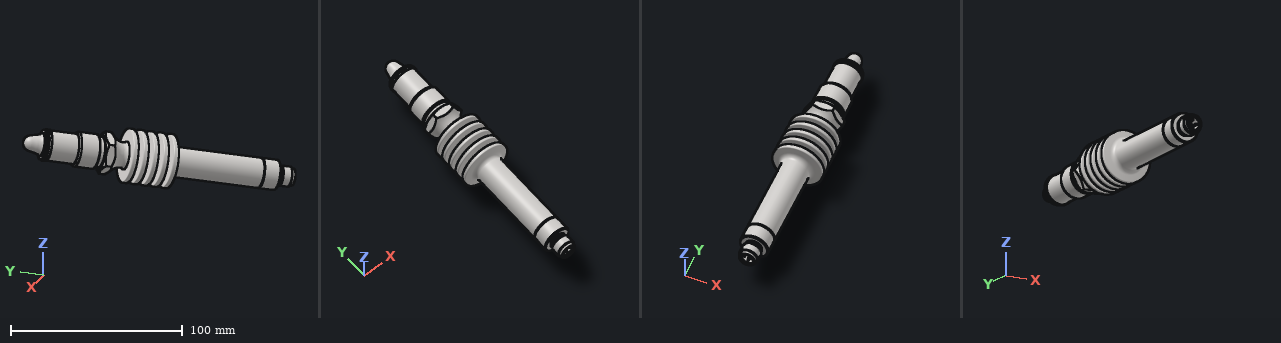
import cadquery as cq
import math

length = 166.2
tip_y = length / 2

body_radius = 9.0

dome_radius = 9.5 / 2
nose_taper = math.radians(12)
nose_cone_end = 8.1
nose_flare_end = 10.8
nose_flare_radius = 6.8
nose_end = 11.6

ring_start = 12.6
ring_end = 14.8
ring_radius = 9.3
ring_chamfer = 0.5
collar_radius = ring_radius - ring_chamfer

sleeve_start = 31.4
sleeve_end = 44.4
sleeve_radius = 10.3
sleeve_lead = 1.3
sleeve_lead_height = 0.8
sleeve_chamfer = 0.5

hex_start = 47.4
hex_across_flats = 22.0
hex_sides = 6
hex_corner_radius = hex_across_flats / 2 / math.cos(math.pi / hex_sides)
hex_chamfer_angle = math.radians(30)
hex_chamfer_inner_radius = 10.1
hex_chamfer_length = (hex_corner_radius - hex_chamfer_inner_radius) * math.tan(hex_chamfer_angle)
back_flare_start = 52.2
back_flare_middle = 56.0
back_flare_middle_radius = 9.0
neck_radius = 7.5
neck_start = 59.8
neck_end_radius = 8.3

fin_count = 5
first_fin = 64.3
last_fin = 89.0
fin_pitch = (last_fin - first_fin) / (fin_count - 1)
fin_radius = 32.0 / 2
fin_thickness = 3.2
fin_edge = 0.7
core_radius = 6.3

first_fin_face = first_fin - fin_thickness / 2
gap_round = (fin_pitch - fin_thickness) / 2

rear_face = last_fin + fin_thickness / 2
rear_fillet = 3.0
rear_cone_angle = math.radians(7)
rear_body_end = 155.9
rear_chamfer = 0.5
groove_place = 145.5
groove_width = 0.5
groove_depth = 0.2

plug_neck_radius = 10.5 / 2
plug_groove_radius = 4.8
plug_groove_place = 156.9
thread_start = 158.0
thread_end = 163.9
thread_radius = 6.0
thread_chamfer = 0.5
plug_tip_radius = 5.3
plug_tip_chamfer = 0.3
plug_tip_edge = 164.9
mouth_radius = 4.2
mouth_depth = 1.0
bore_radius = 4.0
bore_depth = 8.3
pin_radius = 0.5
pin_circle_radius = 2.5
pin_count = 4
pin_length = 6.6
key_radius = 0.5
key_angle = 135


def at(radius, distance):
    """Profile point from a radius and a distance behind the tip."""
    return (radius, tip_y - distance)


def revolve(profile):
    """Turn a closed profile about the Y axis."""
    return profile.close().revolve(360, (0, 0, 0), (0, 1, 0))


def turned(*points):
    """Solid of straight-sided (radius, distance) points, closed on the axis."""
    closed = [(0, points[0][1]), *points, (0, points[-1][1])]
    return revolve(cq.Workplane("XY").polyline([at(*point) for point in closed]))


def rod(radius, start, end, x=0.0, z=0.0):
    """Cylinder parallel to Y between two distances from the tip."""
    plane = cq.Plane(origin=(x, tip_y - start, z), xDir=(1, 0, 0), normal=(0, -1, 0))
    return cq.Workplane(plane).circle(radius).extrude(end - start)


def nose():
    dome_end = dome_radius * (1 - math.sin(nose_taper))
    dome_end_radius = dome_radius * math.cos(nose_taper)
    cone_end_radius = dome_end_radius + (nose_cone_end - dome_end) * math.tan(nose_taper)
    middle = (math.pi / 2 - nose_taper) / 2
    dome_middle = at(dome_radius * math.sin(middle), dome_radius * (1 - math.cos(middle)))
    return revolve(
        cq.Workplane("XY")
        .moveTo(*at(0, 0))
        .threePointArc(dome_middle, at(dome_end_radius, dome_end))
        .lineTo(*at(cone_end_radius, nose_cone_end))
        .tangentArcPoint(at(nose_flare_radius, nose_flare_end), relative=False)
        .lineTo(*at(nose_flare_radius, nose_end))
        .lineTo(*at(0, nose_end))
    )


def front_body():
    return turned(
        (collar_radius, nose_end),
        (collar_radius, ring_start),
        (ring_radius, ring_start + ring_chamfer),
        (ring_radius, ring_end),
        (body_radius, ring_end),
        (body_radius, sleeve_start),
        (sleeve_radius - sleeve_lead_height, sleeve_start),
        (sleeve_radius, sleeve_start + sleeve_lead),
        (sleeve_radius, sleeve_end - sleeve_chamfer),
        (sleeve_radius - sleeve_chamfer, sleeve_end),
        (body_radius, sleeve_end),
        (body_radius, hex_start),
    )


def hexagon_and_neck():
    blank = revolve(
        cq.Workplane("XY")
        .moveTo(*at(0, hex_start))
        .lineTo(*at(hex_chamfer_inner_radius, hex_start))
        .lineTo(*at(hex_corner_radius, hex_start + hex_chamfer_length))
        .lineTo(*at(hex_corner_radius, back_flare_start))
        .threePointArc(at(back_flare_middle_radius, back_flare_middle), at(neck_radius, neck_start))
        .tangentArcPoint(at(neck_end_radius, first_fin_face), relative=False)
        .lineTo(*at(0, first_fin_face))
    )
    prism = (
        cq.Workplane(cq.Plane(origin=(0, tip_y - hex_start, 0), xDir=(1, 0, 0), normal=(0, -1, 0)))
        .polygon(hex_sides, 2 * hex_corner_radius)
        .extrude(first_fin_face - hex_start)
    )
    return blank.intersect(prism)


def fin(middle):
    disc = rod(fin_radius, middle - fin_thickness / 2, middle + fin_thickness / 2)
    return disc.edges().fillet(fin_edge)


def spool(fin_face):
    """Shaft between two fins, hollowed by one half round from face to face."""
    next_face = fin_face + 2 * gap_round
    return revolve(
        cq.Workplane("XY")
        .moveTo(*at(0, fin_face))
        .lineTo(*at(core_radius + gap_round, fin_face))
        .threePointArc(at(core_radius, fin_face + gap_round), at(core_radius + gap_round, next_face))
        .lineTo(*at(0, next_face))
    )


def cooling_fins():
    fins = fin(first_fin)
    for index in range(1, fin_count):
        middle = first_fin + index * fin_pitch
        fins = fins.union(spool(middle - fin_pitch + fin_thickness / 2)).union(fin(middle))
    return fins


def rear_flare():
    """Shallow cone on the last fin, rounded tangentially into the rear body."""
    cone_start_radius = fin_radius - fin_edge
    cone_end_radius = body_radius + rear_fillet * (1 - math.sin(rear_cone_angle))
    cone_end = rear_face + (cone_start_radius - cone_end_radius) * math.tan(rear_cone_angle)
    flare_end_place = cone_end + rear_fillet * math.cos(rear_cone_angle)
    return revolve(
        cq.Workplane("XY")
        .moveTo(*at(0, rear_face))
        .lineTo(*at(cone_start_radius, rear_face))
        .lineTo(*at(cone_end_radius, cone_end))
        .tangentArcPoint(at(body_radius, flare_end_place), relative=False)
        .lineTo(*at(0, flare_end_place))
    )


def rear_body():
    groove_bottom = body_radius - groove_depth
    return turned(
        (body_radius, rear_face),
        (body_radius, groove_place),
        (groove_bottom, groove_place),
        (groove_bottom, groove_place + groove_width),
        (body_radius, groove_place + groove_width),
        (body_radius, rear_body_end - rear_chamfer),
        (body_radius - rear_chamfer, rear_body_end),
    )


def plug():
    shell = turned(
        (plug_neck_radius, rear_body_end),
        (plug_neck_radius, plug_groove_place),
        (plug_groove_radius, plug_groove_place),
        (plug_groove_radius, thread_start),
        (thread_radius - thread_chamfer, thread_start),
        (thread_radius, thread_start + thread_chamfer),
        (thread_radius, thread_end),
        (plug_tip_radius, thread_end),
        (plug_tip_radius, plug_tip_edge),
        (plug_tip_radius - plug_tip_chamfer, length),
    )
    bore_floor = length - bore_depth
    bore = rod(bore_radius, bore_floor, length)
    key_x = bore_radius * math.cos(math.radians(key_angle))
    key_z = bore_radius * math.sin(math.radians(key_angle))
    shell = shell.cut(bore.cut(rod(key_radius, bore_floor, length, key_x, key_z)))
    shell = shell.cut(rod(mouth_radius, length - mouth_depth, length))
    for index in range(pin_count):
        angle = 2 * math.pi * index / pin_count
        x = pin_circle_radius * math.cos(angle)
        z = pin_circle_radius * math.sin(angle)
        shell = shell.union(rod(pin_radius, bore_floor - pin_radius, bore_floor + pin_length, x, z))
    return shell


result = (
    nose()
    .union(front_body())
    .union(hexagon_and_neck())
    .union(cooling_fins())
    .union(rear_flare())
    .union(rear_body())
    .union(plug())
)